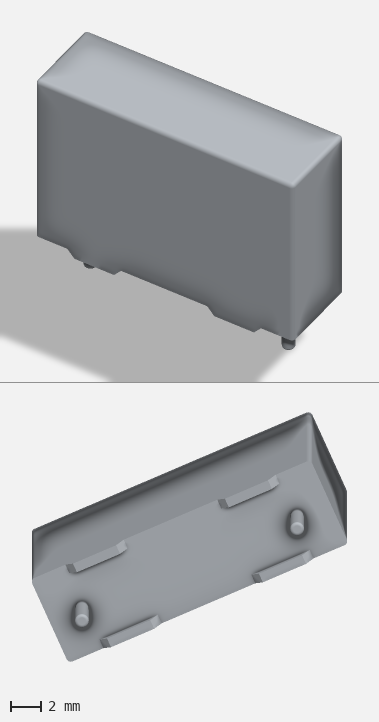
import cadquery as cq

body_length = 20.15
body_width = 6.2
total_height = 17.07
pin_length = 3.7
body_height = total_height - pin_length
edge_radius = 0.3

pin_diameter = 0.9
pin_offset = 7.74
pin_tip_radius = 0.2

foot_offset = 5.46
foot_root_length = 4.2
foot_tip_length = 3.1
foot_height = 0.6
foot_thickness = 0.65


def make_body():
    """Block with rounded upright edges and rounded top edges."""
    block = cq.Workplane("XY").box(body_length, body_width, body_height, centered=(True, True, False))
    return block.edges("|Z or >Z").fillet(edge_radius)


def make_foot(x, y):
    """Trapezoidal foot centred on x and y, hanging below the body."""
    half_root = foot_root_length / 2
    half_tip = foot_tip_length / 2
    outline = [
        (x - half_root, 0),
        (x - half_tip, -foot_height),
        (x + half_tip, -foot_height),
        (x + half_root, 0),
    ]
    profile = cq.Workplane("XZ", origin=(0, y, 0)).polyline(outline).close()
    return profile.extrude(foot_thickness / 2, both=True)


def make_pin(x):
    """Pin on the body's centre line, hanging below the body."""
    pin = cq.Workplane("XY").center(x, 0).circle(pin_diameter / 2).extrude(-pin_length)
    return pin.faces("<Z").edges().fillet(pin_tip_radius)


result = make_body()
foot_y = (body_width - foot_thickness) / 2
for x_side in (-1, 1):
    result = result.union(make_pin(x_side * pin_offset))
    for y_side in (-1, 1):
        result = result.union(make_foot(x_side * foot_offset, y_side * foot_y))